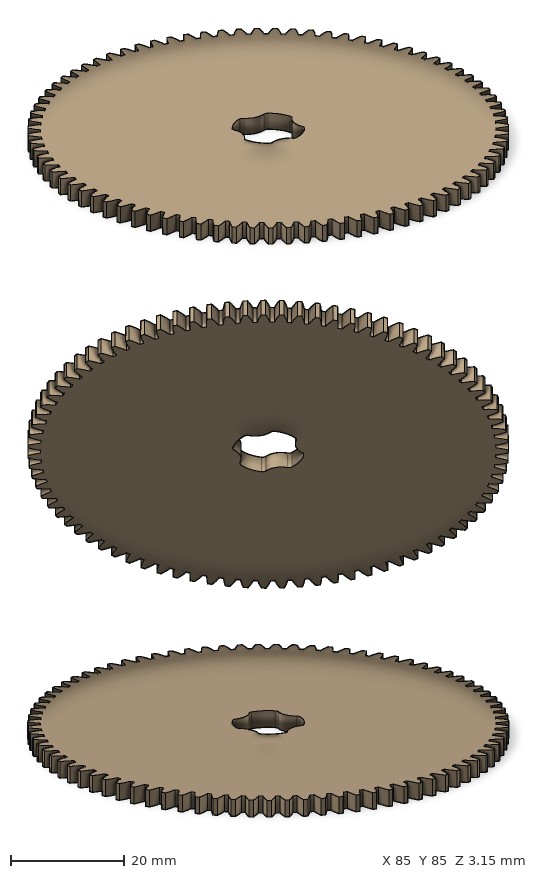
import cadquery as cq
import math

OUTER_DIAMETER = 85.0
THICKNESS = 3.15
TOOTH_COUNT = 83
PRESSURE_ANGLE = math.radians(20)
DEDENDUM_FACTOR = 1.25
FLANK_SEGMENTS = 4

HOLE_RADIUS = 6.4
BUMP_COUNT = 4
BUMP_REACH = 5.1
BUMP_RADIUS = 3.65
CORNER_FILLET = 0.85

TIP_RADIUS = OUTER_DIAMETER / 2
MODULE = OUTER_DIAMETER / (TOOTH_COUNT + 2)
PITCH_RADIUS = MODULE * TOOTH_COUNT / 2
ROOT_RADIUS = PITCH_RADIUS - DEDENDUM_FACTOR * MODULE
BASE_RADIUS = PITCH_RADIUS * math.cos(PRESSURE_ANGLE)
TOOTH_PITCH = 2 * math.pi / TOOTH_COUNT


def polar(radius, angle):
    """Point at a radius and angle about the gear axis."""
    return (radius * math.cos(angle), radius * math.sin(angle))


def involute_angle(radius):
    """Angle swept by the involute between the base circle and a radius."""
    pressure = math.acos(BASE_RADIUS / radius)
    return math.tan(pressure) - pressure


def half_tooth_angle(radius):
    """Half of the angle filled by one tooth at a radius."""
    return TOOTH_PITCH / 4 + involute_angle(PITCH_RADIUS) - involute_angle(radius)


def gear_blank():
    """Toothed disc with one tooth centred on the +X axis."""
    step = (TIP_RADIUS - ROOT_RADIUS) / FLANK_SEGMENTS
    radii = [ROOT_RADIUS + i * step for i in range(FLANK_SEGMENTS + 1)]
    root_half_angle = half_tooth_angle(ROOT_RADIUS)

    outline = cq.Workplane("XY").moveTo(*polar(ROOT_RADIUS, -root_half_angle))
    for tooth in range(TOOTH_COUNT):
        centre = tooth * TOOTH_PITCH
        rising = [polar(r, centre - half_tooth_angle(r)) for r in radii]
        falling = [polar(r, centre + half_tooth_angle(r)) for r in reversed(radii)]
        next_root = polar(ROOT_RADIUS, centre + TOOTH_PITCH - root_half_angle)
        outline = outline.spline(rising[1:], includeCurrent=True)
        outline = outline.threePointArc(polar(TIP_RADIUS, centre), falling[0])
        outline = outline.spline(falling[1:], includeCurrent=True)
        outline = outline.threePointArc(polar(ROOT_RADIUS, centre + TOOTH_PITCH / 2), next_root)
    return outline.close().extrude(THICKNESS)


def hub_hole():
    """Cutter for the round hole with four convex bumps reaching into it."""
    cutter = cq.Workplane("XY").circle(HOLE_RADIUS).extrude(THICKNESS)
    bumps = (
        cq.Workplane("XY")
        .polarArray(BUMP_REACH + BUMP_RADIUS, 0, 360, BUMP_COUNT)
        .circle(BUMP_RADIUS)
        .extrude(THICKNESS)
    )
    return cutter.cut(bumps).edges("|Z").fillet(CORNER_FILLET)


result = gear_blank().cut(hub_hole())